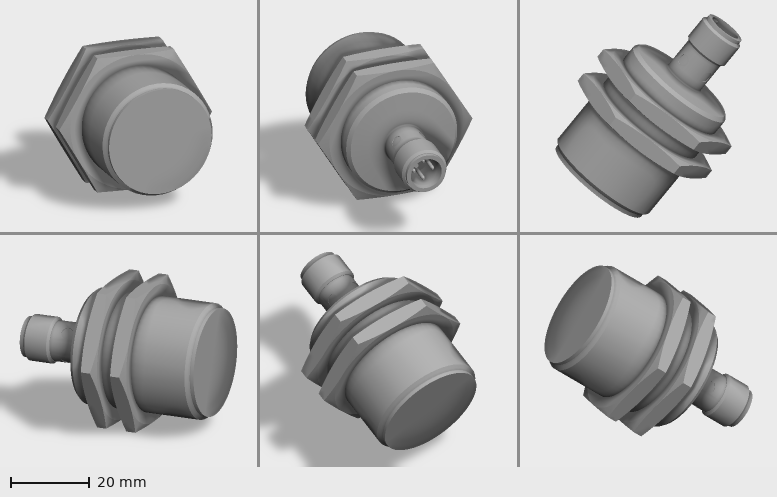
import cadquery as cq
import math

LENGTH = 51.95

NECK_R = 10.5 / 2
COLLAR_R = 12.0 / 2
COLLAR_START = 1.0
COLLAR_END = 8.25
COLLAR_CHAMFER = 0.6
NECK_END = 17.0
NECK_FILLET = 0.4

SOCKET_R = 8.3 / 2
SOCKET_DEPTH = 9.0
PIN_COUNT = 4
PIN_R = 1.0 / 2
PIN_CIRCLE_R = 2.5
PIN_TIP_X = 1.9
PIN_TIP_R = 0.25
PIN_TAPER = 0.7
KEY_R = 0.55
KEY_CENTRE_R = 3.5
KEY_START = 0.5
KEY_ANGLE = 45.0

DIMPLE_COUNT = 4
DIMPLE_R = 3.0 / 2
DIMPLE_X = 12.45
DIMPLE_FLOOR_R = 5.1

BARREL_R = 30.0 / 2
SHOULDER_START = 17.9
SHOULDER_END = 18.85
SHOULDER_R = 14.1
LIP_R = 14.0
LIP_LENGTH = 1.05
REAR_CHAMFER = BARREL_R - LIP_R

NUT_FLATS = 36.0
NUT_CORNERS = NUT_FLATS / math.cos(math.radians(30))
NUT_WIDTH = 4.05
NUT_BEVEL = 0.8
NUT_STARTS = (22.9, 31.05)


def revolve_about_x(outline):
    return outline.close().revolve(360, (0, 0, 0), (1, 0, 0))


def make_shell():
    """Connector, conical front face and barrel as one turned shape."""
    lip_start = LENGTH - LIP_LENGTH
    fillet_offset = NECK_FILLET * (1 - math.sqrt(0.5))
    fillet_middle = (NECK_END - fillet_offset, NECK_R + fillet_offset)
    outline = (
        cq.Workplane("XY")
        .moveTo(0, 0)
        .lineTo(0, NECK_R)
        .lineTo(COLLAR_START, NECK_R)
        .lineTo(COLLAR_START, COLLAR_R - COLLAR_CHAMFER)
        .lineTo(COLLAR_START + COLLAR_CHAMFER, COLLAR_R)
        .lineTo(COLLAR_END - COLLAR_CHAMFER, COLLAR_R)
        .lineTo(COLLAR_END, COLLAR_R - COLLAR_CHAMFER)
        .lineTo(COLLAR_END, NECK_R)
        .lineTo(NECK_END - NECK_FILLET, NECK_R)
        .threePointArc(fillet_middle, (NECK_END, NECK_R + NECK_FILLET))
        .lineTo(SHOULDER_START, SHOULDER_R)
        .lineTo(SHOULDER_END, BARREL_R)
        .lineTo(lip_start - REAR_CHAMFER, BARREL_R)
        .lineTo(lip_start, LIP_R)
        .lineTo(LENGTH, LIP_R)
        .lineTo(LENGTH, 0)
    )
    return revolve_about_x(outline)


def make_socket():
    return cq.Workplane("YZ").circle(SOCKET_R).extrude(SOCKET_DEPTH)


def make_pin():
    """Contact pin with a tapered tip, standing on the socket floor at +Y."""
    outline = (
        cq.Workplane("XY")
        .moveTo(PIN_TIP_X, 0)
        .lineTo(PIN_TIP_X, PIN_TIP_R)
        .lineTo(PIN_TIP_X + PIN_TAPER, PIN_R)
        .lineTo(SOCKET_DEPTH, PIN_R)
        .lineTo(SOCKET_DEPTH, 0)
    )
    return revolve_about_x(outline).translate((0, PIN_CIRCLE_R, 0))


def make_key():
    """Round-nosed rib along the socket wall."""
    wall_r = (SOCKET_R + NECK_R) / 2
    outline = (
        cq.Workplane("YZ", origin=(KEY_START, 0, 0))
        .moveTo(wall_r, -KEY_R)
        .lineTo(KEY_CENTRE_R, -KEY_R)
        .threePointArc((KEY_CENTRE_R - KEY_R, 0), (KEY_CENTRE_R, KEY_R))
        .lineTo(wall_r, KEY_R)
        .close()
    )
    key = outline.extrude(SOCKET_DEPTH - KEY_START)
    return key.rotate((0, 0, 0), (1, 0, 0), KEY_ANGLE)


def make_dimple(angle):
    cutter = cq.Workplane("XY", origin=(DIMPLE_X, 0, 0)).circle(DIMPLE_R).extrude(COLLAR_R)
    core = cq.Workplane("YZ").circle(DIMPLE_FLOOR_R).extrude(NECK_END)
    cutter = cutter.cut(core)
    return cutter.rotate((0, 0, 0), (1, 0, 0), angle)


def make_housing():
    housing = make_shell().cut(make_socket()).union(make_key())
    for i in range(PIN_COUNT):
        housing = housing.union(make_pin().rotate((0, 0, 0), (1, 0, 0), i * 360 / PIN_COUNT))
    for i in range(DIMPLE_COUNT):
        housing = housing.cut(make_dimple((i + 0.5) * 360 / DIMPLE_COUNT))
    return housing


def make_nut(start):
    """Hexagon nut with its corners on the Y axis and both faces bevelled."""
    corner_r = NUT_CORNERS / 2
    face_r = NUT_FLATS / 2
    hexagon = cq.Workplane("YZ").polygon(6, NUT_CORNERS).extrude(NUT_WIDTH)
    bevel_outline = (
        cq.Workplane("XY")
        .moveTo(0, 0)
        .lineTo(0, face_r)
        .lineTo(NUT_BEVEL, corner_r)
        .lineTo(NUT_WIDTH - NUT_BEVEL, corner_r)
        .lineTo(NUT_WIDTH, face_r)
        .lineTo(NUT_WIDTH, 0)
    )
    bore = cq.Workplane("YZ").circle(BARREL_R).extrude(NUT_WIDTH)
    nut = hexagon.intersect(revolve_about_x(bevel_outline)).cut(bore)
    return nut.translate((start, 0, 0))


housing = make_housing()
nuts = [make_nut(start) for start in NUT_STARTS]

result = cq.Compound.makeCompound([housing.val(), *[nut.val() for nut in nuts]])